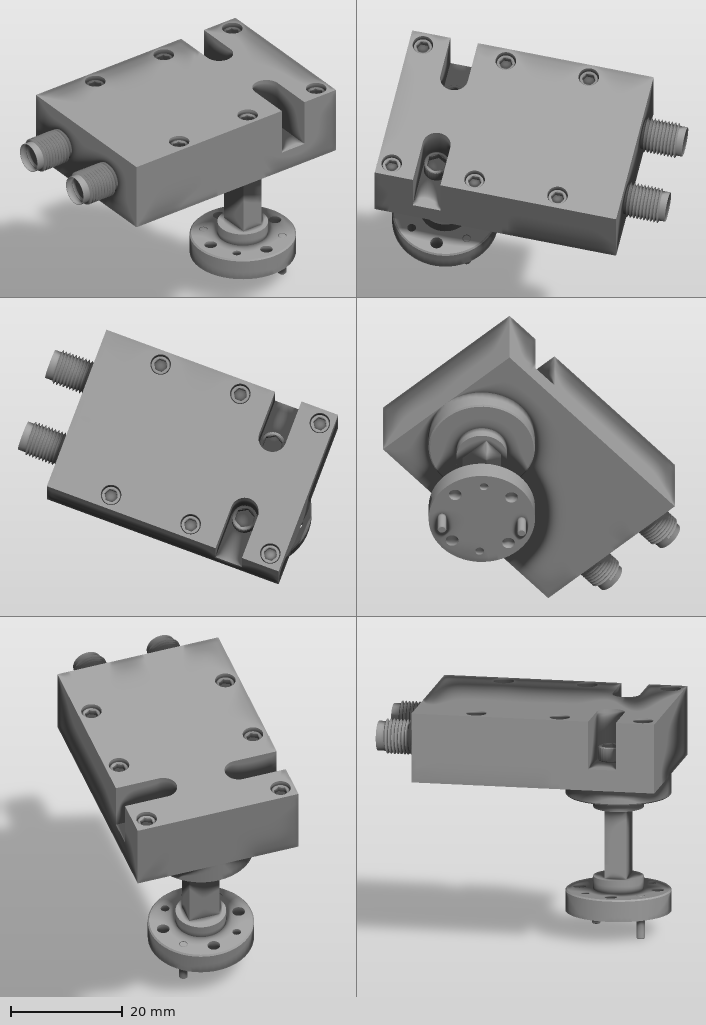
import cadquery as cq
import math

HOUSING_WIDTH = 30.45
HOUSING_LENGTH = 44.35
HOUSING_HEIGHT = 12.7
OVERALL_LENGTH = 52.0

FLANGE_DIAMETER = 19.1
FLANGE_THICKNESS = 4.0
FLANGE_CHAMFER = 0.25
NECK_DIAMETER = 9.1
NECK_HEIGHT = 2.35
WAVEGUIDE_LENGTH = 25.4
TUBE_WIDTH = 5.75
TUBE_DEPTH = 4.0
BOLT_CIRCLE_DIAMETER = 14.3
BOLT_HOLE_DIAMETER = 2.3
bolt_circle_radius = BOLT_CIRCLE_DIAMETER / 2
flange_y = -FLANGE_DIAMETER / 2
lower_face_z = -HOUSING_HEIGHT - WAVEGUIDE_LENGTH

PIN_DIAMETER = 1.55
PIN_PROJECTION = 3.85
PIN_CHAMFER = 0.15

SLOT_WIDTH = 5.05
SLOT_DEPTH = 8.8
CAP_HEAD_DIAMETER = 4.6
CAP_HEAD_HEIGHT = 2.65
CAP_HEAD_CHAMFER = 0.15
CAP_SOCKET_FLATS = 3.1
CAP_SOCKET_DEPTH = 1.35
CAP_SHANK_DIAMETER = 2.8
SOCKET_LEAD_IN = 0.2
KNURL_COUNT = 30
KNURL_DEPTH = 0.1
cap_shank_length = HOUSING_HEIGHT - SLOT_DEPTH + FLANGE_THICKNESS

COVER_SCREW_INSET = 2.55
COVER_SCREW_PITCH = 15.25
COVER_SCREW_ROWS = 3
COVER_BORE_DIAMETER = 3.7
COVER_BORE_DEPTH = 1.85
COVER_HEAD_DIAMETER = 3.2
COVER_HEAD_RECESS = 0.75
COVER_SOCKET_FLATS = 2.15
COVER_SOCKET_DEPTH = 1.05

CONNECTOR_OFFSET = 6.95
CONNECTOR_DIAMETER = 5.35
THREAD_DIAMETER = 6.35
THREAD_PITCH = 0.6
THREAD_TURNS = 9.7
THREAD_START = 0.05
THREAD_EMBED = 0.05
THREAD_FILL = 0.9
CONNECTOR_BORE_DIAMETER = 5.15
CONNECTOR_BORE_DEPTH = 1.3
CONNECTOR_SEAT_DIAMETER = 4.9
CONNECTOR_SEAT_DEPTH = 1.9
CONTACT_HOLE_DIAMETER = 0.2
CONTACT_HOLE_DEPTH = 0.5
connector_length = OVERALL_LENGTH - HOUSING_LENGTH
connector_z = -HOUSING_HEIGHT / 2

SIDES = (-1, 1)


def cylinder(diameter, height, x=0, y=0, z=0):
    """Upright cylinder standing on height z."""
    return cq.Workplane("XY", origin=(x, y, z)).circle(diameter / 2).extrude(height)


def hex_socket(flats, depth, top_z):
    """Hexagonal socket cutter with corners on the X axis and a conical lead-in at its top."""
    corner_diameter = flats / math.cos(math.pi / 6)
    socket = cq.Workplane("XY", origin=(0, 0, top_z - depth)).polygon(6, corner_diameter).extrude(depth)
    rim_radius = corner_diameter / 2
    cone_base = cq.Vector(0, 0, top_z - SOCKET_LEAD_IN)
    lead_in = cq.Solid.makeCone(rim_radius - SOCKET_LEAD_IN, rim_radius, SOCKET_LEAD_IN, cone_base)
    return socket.union(cq.Workplane(obj=lead_in))


def make_flange():
    """Round flange and neck with the mating face at Z = 0 and the neck pointing up."""
    disc = cylinder(FLANGE_DIAMETER, FLANGE_THICKNESS).faces(">Z").chamfer(FLANGE_CHAMFER)
    return disc.union(cylinder(NECK_DIAMETER, NECK_HEIGHT, z=FLANGE_THICKNESS))


def make_lower_flange():
    """Flange with bolt holes on the axes and dowel holes on the diagonals."""
    flange = make_flange()
    for diameter, first_angle in ((BOLT_HOLE_DIAMETER, 0), (PIN_DIAMETER, 45)):
        holes = (
            cq.Workplane("XY")
            .polarArray(bolt_circle_radius, first_angle, 360, 4)
            .circle(diameter / 2)
            .extrude(FLANGE_THICKNESS)
        )
        flange = flange.cut(holes)
    return flange


def make_waveguide():
    """Rectangular guide between two facing flanges."""
    lower_flange = make_lower_flange().translate((0, flange_y, lower_face_z))
    upper_flange = make_flange().rotate((0, 0, 0), (1, 0, 0), 180)
    upper_flange = upper_flange.translate((0, flange_y, -HOUSING_HEIGHT))
    end_height = FLANGE_THICKNESS + NECK_HEIGHT
    tube = cq.Workplane("XY", origin=(0, flange_y, lower_face_z + end_height))
    tube = tube.rect(TUBE_WIDTH, TUBE_DEPTH).extrude(WAVEGUIDE_LENGTH - 2 * end_height)
    return lower_flange.union(tube).union(upper_flange)


def cut_side_slot(block, side):
    """Slot from one X side, round at its inner end, with the cap screw hole in its floor."""
    run = HOUSING_WIDTH / 2 - bolt_circle_radius
    slot = cylinder(SLOT_WIDTH, SLOT_DEPTH, side * bolt_circle_radius, flange_y, -SLOT_DEPTH)
    middle_x = side * (bolt_circle_radius + run / 2)
    straight = cq.Workplane("XY", origin=(middle_x, flange_y, -SLOT_DEPTH))
    slot = slot.union(straight.rect(run, SLOT_WIDTH).extrude(SLOT_DEPTH))
    hole_end_z = -SLOT_DEPTH - cap_shank_length
    hole = cylinder(CAP_SHANK_DIAMETER, cap_shank_length, side * bolt_circle_radius, flange_y, hole_end_z)
    return block.cut(slot).cut(hole)


def make_cover_screw_recess():
    """Counterbore around a sunken screw head with a hexagon socket; the surface is at Z = 0."""
    recess = cylinder(COVER_BORE_DIAMETER, COVER_BORE_DEPTH, z=-COVER_BORE_DEPTH)
    head_height = COVER_BORE_DEPTH - COVER_HEAD_RECESS
    recess = recess.cut(cylinder(COVER_HEAD_DIAMETER, head_height, z=-COVER_BORE_DEPTH))
    socket = hex_socket(COVER_SOCKET_FLATS, COVER_SOCKET_DEPTH, -COVER_HEAD_RECESS)
    return recess.union(socket.rotate((0, 0, 0), (0, 0, 1), 90))


def make_housing():
    """Housing block with the waveguide in one piece."""
    block = cq.Workplane("XY").box(HOUSING_WIDTH, HOUSING_LENGTH, HOUSING_HEIGHT)
    block = block.translate((0, -HOUSING_LENGTH / 2, -HOUSING_HEIGHT / 2)).union(make_waveguide())
    recess = make_cover_screw_recess()
    for side in SIDES:
        block = cut_side_slot(block, side)
        for row in range(COVER_SCREW_ROWS):
            x = side * (HOUSING_WIDTH / 2 - COVER_SCREW_INSET)
            y = -COVER_SCREW_INSET - row * COVER_SCREW_PITCH
            block = block.cut(recess.translate((x, y, 0)))
    return block


def make_cap_screw():
    """Socket head screw with a knurled head; the head stands on Z = 0."""
    head = cylinder(CAP_HEAD_DIAMETER, CAP_HEAD_HEIGHT).faces("<Z or >Z").chamfer(CAP_HEAD_CHAMFER)
    groove_size = 2 * KNURL_DEPTH / math.sqrt(2)
    grooves = (
        cq.Workplane("XY")
        .polarArray(CAP_HEAD_DIAMETER / 2, 0, 360, KNURL_COUNT)
        .rect(groove_size, groove_size)
        .extrude(CAP_HEAD_HEIGHT)
    )
    head = head.cut(grooves)
    socket = hex_socket(CAP_SOCKET_FLATS, CAP_SOCKET_DEPTH, CAP_HEAD_HEIGHT)
    shank = cylinder(CAP_SHANK_DIAMETER, cap_shank_length, z=-cap_shank_length)
    return head.cut(socket).union(shank)


def make_pin():
    """Dowel pin chamfered at both ends; its lower end is at Z = 0."""
    return cylinder(PIN_DIAMETER, FLANGE_THICKNESS + PIN_PROJECTION).faces("<Z or >Z").chamfer(PIN_CHAMFER)


def make_thread():
    """Helical V ridge around the Z axis, sunk a little into the connector barrel."""
    root_radius = CONNECTOR_DIAMETER / 2 - THREAD_EMBED
    half_width = THREAD_FILL * THREAD_PITCH / 2
    path = cq.Wire.makeHelix(THREAD_PITCH, THREAD_TURNS * THREAD_PITCH, root_radius)
    profile = cq.Workplane("XZ").polyline(
        [(root_radius, -half_width), (THREAD_DIAMETER / 2, 0), (root_radius, half_width)]
    )
    ridge = profile.close().sweep(cq.Workplane(obj=path), isFrenet=True)
    return ridge.translate((0, 0, THREAD_START + half_width))


def make_connector():
    """Threaded barrel with a stepped bore; it runs up from its mounting face at Z = 0."""
    barrel = cylinder(CONNECTOR_DIAMETER, connector_length).union(make_thread())
    for diameter, depth in (
        (CONNECTOR_BORE_DIAMETER, CONNECTOR_BORE_DEPTH),
        (CONNECTOR_SEAT_DIAMETER, CONNECTOR_SEAT_DEPTH),
        (CONTACT_HOLE_DIAMETER, CONNECTOR_SEAT_DEPTH + CONTACT_HOLE_DEPTH),
    ):
        barrel = barrel.cut(cylinder(diameter, depth, z=connector_length - depth))
    return barrel


housing = make_housing()
cap_screw = make_cap_screw()
pin = make_pin()
connector = make_connector().rotate((0, 0, 0), (1, 0, 0), 90)
pin_offset = bolt_circle_radius / math.sqrt(2)

bodies = [housing.val()]
for side in SIDES:
    placed_screw = cap_screw.translate((side * bolt_circle_radius, flange_y, -SLOT_DEPTH))
    pin_shift = side * pin_offset
    placed_pin = pin.translate((pin_shift, flange_y + pin_shift, lower_face_z - PIN_PROJECTION))
    placed_connector = connector.translate((side * CONNECTOR_OFFSET, -HOUSING_LENGTH, connector_z))
    bodies.extend([placed_screw.val(), placed_pin.val(), placed_connector.val()])

result = cq.Compound.makeCompound(bodies)